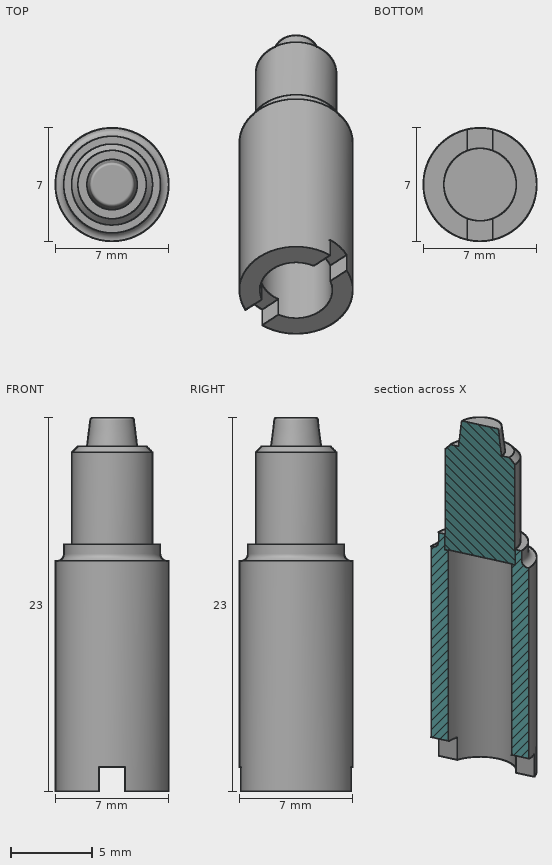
import cadquery as cq

total_height = 23.0

sleeve_radius = 7.0 / 2
sleeve_top = 14.2
collar_radius = 5.95 / 2
collar_top = 15.23
collar_fillet = 0.41
bore_radius = 4.46 / 2

seat_height = sleeve_top
barrel_radius = 5.0 / 2
barrel_top = 21.25
barrel_chamfer = 0.4

slot_width = 1.59
slot_depth = 1.5

tip_base_radius = 3.1 / 2
tip_end_radius = 2.67 / 2
tip_edge_fillet = 0.15
tip_height = total_height - barrel_top


def cylinder(radius, bottom, top):
    return cq.Workplane("XY").workplane(offset=bottom).circle(radius).extrude(top - bottom)


def collar_with_root_fillet():
    """Collar whose foot sweeps out to the sleeve in a concave quarter circle."""
    fillet_outer = collar_radius + collar_fillet
    fillet_top = sleeve_top + collar_fillet
    diagonal = collar_fillet * 0.5 ** 0.5
    return (
        cq.Workplane("XZ")
        .moveTo(0, sleeve_top)
        .lineTo(fillet_outer, sleeve_top)
        .threePointArc((fillet_outer - diagonal, fillet_top - diagonal), (collar_radius, fillet_top))
        .lineTo(collar_radius, collar_top)
        .lineTo(0, collar_top)
        .close()
        .revolve(360, (0, 0, 0), (0, 1, 0))
    )


def driver_slot():
    return cq.Workplane("XY").box(slot_width, 2 * sleeve_radius, slot_depth, centered=(True, True, False))


def make_housing():
    sleeve = cylinder(sleeve_radius, 0, sleeve_top)
    bore = cylinder(bore_radius, 0, seat_height)
    seat = cylinder(barrel_radius, seat_height, collar_top)
    return sleeve.union(collar_with_root_fillet()).cut(bore).cut(seat).cut(driver_slot())


def make_tip():
    """Cone frustum with a rounded edge at its free end."""
    cone = cq.Solid.makeCone(tip_base_radius, tip_end_radius, tip_height, pnt=cq.Vector(0, 0, barrel_top))
    return cq.Workplane(cone).faces(">Z").edges().fillet(tip_edge_fillet)


def make_plunger():
    barrel = cylinder(barrel_radius, seat_height, barrel_top).faces(">Z").chamfer(barrel_chamfer)
    return barrel.union(make_tip())


housing = make_housing()
plunger = make_plunger()

result = cq.Compound.makeCompound([housing.val(), plunger.val()])